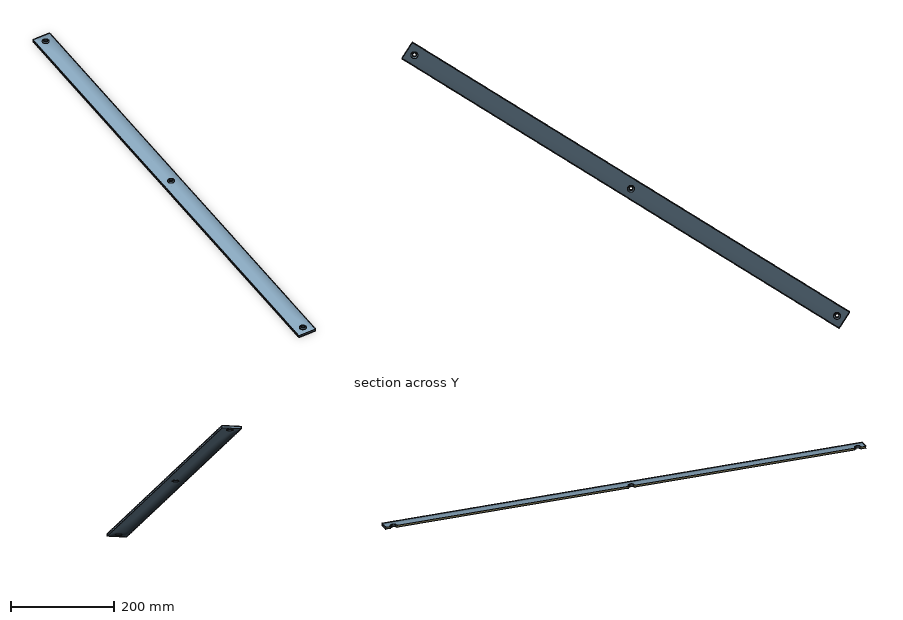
import cadquery as cq

length = 1003.3
width = 38.1
overall_height = 6.86
thickness = 4.76

dimple_height = overall_height - thickness
dimple_base_diameter = 13.6
dimple_top_diameter = 8.2
recess_top_diameter = 7.8
hole_diameter = 7.3

end_dimple_inset = 16.8
middle_dimple_x = -12.0
end_dimple_x = length / 2 - end_dimple_inset
dimple_positions = [-end_dimple_x, middle_dimple_x, end_dimple_x]


def cone(x, z, top_diameter):
    """Truncated cone of the dimple height, narrowing upwards from height z."""
    return (
        cq.Workplane("XY", origin=(x, 0, z))
        .circle(dimple_base_diameter / 2)
        .workplane(offset=dimple_height)
        .circle(top_diameter / 2)
        .loft()
    )


def through_hole(x):
    """Cylinder that opens the dimple from the underside to its top."""
    return cq.Workplane("XY", origin=(x, 0, 0)).circle(hole_diameter / 2).extrude(overall_height)


def add_dimple(bar, x):
    """Bar with a pierced dimple on its centreline at x."""
    raised = bar.union(cone(x, thickness, dimple_top_diameter))
    recessed = raised.cut(cone(x, 0, recess_top_diameter))
    return recessed.cut(through_hole(x))


result = cq.Workplane("XY").box(length, width, thickness, centered=(True, True, False))
for position in dimple_positions:
    result = add_dimple(result, position)